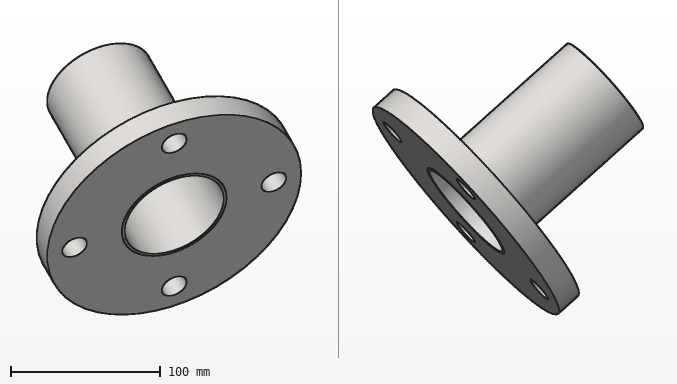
import cadquery as cq

FLANGE_DIAMETER = 185.0
FLANGE_THICKNESS = 18.0
FLANGE_BORE_DIAMETER = 76.4

BOLT_HOLE_DIAMETER = 18.0
BOLT_CIRCLE_DIAMETER = 145.0
BOLT_HOLE_COUNT = 4

TUBE_OUTER_DIAMETER = 76.0
TUBE_INNER_DIAMETER = 72.2
TUBE_LENGTH = 126.0


def make_flange():
    """Disc at the +X end of the tube, with a tube bore and evenly spaced bolt holes."""
    disc = (
        cq.Workplane("YZ", origin=(TUBE_LENGTH - FLANGE_THICKNESS, 0, 0))
        .circle(FLANGE_DIAMETER / 2)
        .circle(FLANGE_BORE_DIAMETER / 2)
        .extrude(FLANGE_THICKNESS)
    )
    bolt_holes = (
        cq.Workplane("YZ")
        .polarArray(BOLT_CIRCLE_DIAMETER / 2, 0, 360, BOLT_HOLE_COUNT)
        .circle(BOLT_HOLE_DIAMETER / 2)
        .extrude(TUBE_LENGTH)
    )
    return disc.cut(bolt_holes)


def make_tube():
    """Plain tube open at both ends, starting at the YZ plane."""
    return (
        cq.Workplane("YZ")
        .circle(TUBE_OUTER_DIAMETER / 2)
        .circle(TUBE_INNER_DIAMETER / 2)
        .extrude(TUBE_LENGTH)
    )


flange = make_flange()
tube = make_tube()

result = cq.Compound.makeCompound([flange.val(), tube.val()])